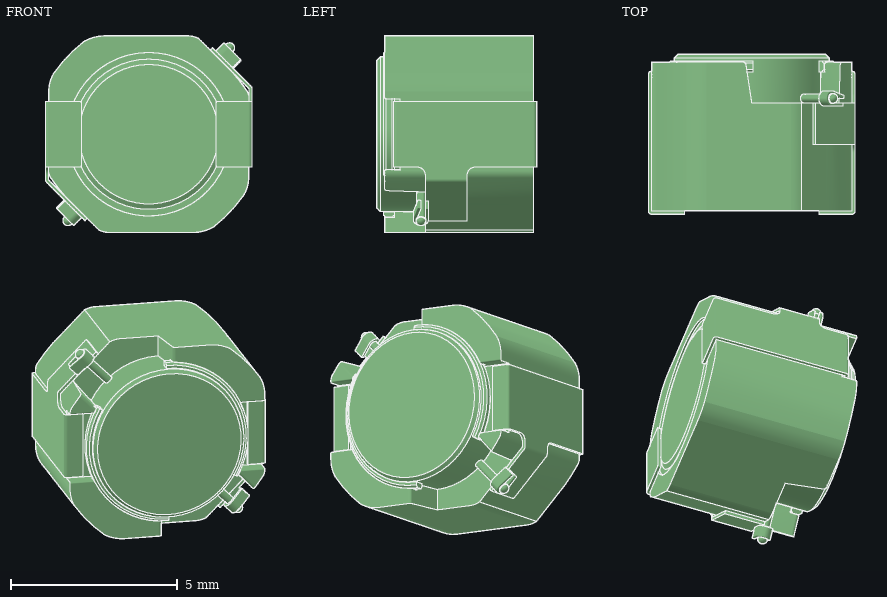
import cadquery as cq
import math


shell_length = 4.465
half_width = 3.0
half_height = 2.95
large_corner = [
    (-1.345, half_height), (-1.66, 2.9), (-1.94, 2.785), (-2.43, 2.34),
    (-2.85, 1.82), (-2.965, 1.555), (-half_width, 1.28),
]
bevel_sum = 4.365
bevel_start_x = 1.49
bevel_end_x = 2.23
bevel_lead_in = [(1.185, half_height), (1.35, 2.925)]
bevel_tail = [(2.6, 1.755), (2.915, 1.34), (2.98, 1.22), (half_width, 1.09)]

core_radius = 2.325
core_end = 4.7
core_rear_chamfer = 0.11
core_face_radius = 2.09

glue_depth = 0.3
front_glue_radius = 2.45
front_glue_inner = 2.25
front_glue_recess = 0.08
rear_glue_radius = 2.49
rear_glue_rise = 0.04
rear_glue_chamfer = 0.075
rear_glue_start = 89.0
rear_glue_end = 210.0

strip = 0.1
terminal_width = 1.97
terminal_top = 4.19
leg_tip_x = 2.01
leg_tip_round = 0.05
fold_tip_x = 2.54
neck_bottom = 1.99
neck_round = 0.24
neck_bend_inside = 0.04
tab_end_x = 1.84
slot_width = 2.12
slot_floor = 4.0
slot_round = 0.05

wire_radius = 0.13
wire_y = 3.37
wire_along = -0.12
wire_head_radius = 0.155
wire_tip_out = 3.695
hook_end_along = 0.36
hook_top_out = 3.53
hook_slant = 16.0
hook_edge_round = 0.02

notch_left_flare = 0.185
notch_wall_along = 0.695
notch_wall_bend_out = 2.345
notch_mouth_floor = 0.625
notch_mouth_rear = 0.68
notch_inner = 1.24
notch_reach = 4.96
notch_round = 0.09

root2 = math.sqrt(2)
notch_floor = wire_y - wire_radius
hook_radius = wire_radius + strip
half_terminal = terminal_width / 2
terminal_x = half_width + strip
bevel_out = bevel_sum / root2
tab_out = bevel_out + strip
rear_glue_bottom = shell_length - glue_depth
rear_glue_top = shell_length + rear_glue_rise
small = 0.005


def half_turn(body):
    return body.rotate((0, 0, 0), (0, 1, 0), 180)


def section_at(y):
    """Workplane with local axes X and Z; a negative extrusion goes toward +Y."""
    return cq.Workplane("XZ", origin=(0, y, 0))


def on_bevel(along, out):
    """X, Z of a point given in the bevel's own directions."""
    return ((along + out) / root2, (out - along) / root2)


def wire_section(out):
    """Workplane parallel to the bevel and centred on the wire: local x is along, local y is +Y."""
    x, z = on_bevel(wire_along, out)
    return cq.Workplane(cq.Plane(origin=(x, wire_y, z), xDir=(1, 0, -1), normal=(1, 0, 1)))


def turned(profile, angle):
    """Turn a profile of (radius, Y) points about the Y axis, from +Z toward -X."""
    outline = cq.Workplane("YZ").polyline([(y, radius) for radius, y in profile]).close()
    return outline.revolve(angle, (0, 0), (-1, 0))


def edge_along_y(x, z):
    """Selector for the edge that runs along Y at X, Z."""
    return cq.selectors.BoxSelector((x - small, 0, z - small), (x + small, shell_length, z + small))



def half_outline(outline, sign):
    """Draw the bevelled corner, the flat side and the large corner; sign -1 is the other half."""
    def place(point):
        return (sign * point[0], sign * point[1])

    def opposite(point):
        return (-sign * point[0], -sign * point[1])

    outline = (
        outline
        .lineTo(*place(bevel_lead_in[0]))
        .threePointArc(place(bevel_lead_in[1]), place((bevel_start_x, bevel_sum - bevel_start_x)))
        .lineTo(*place((bevel_end_x, bevel_sum - bevel_end_x)))
        .threePointArc(place(bevel_tail[0]), place(bevel_tail[1]))
        .threePointArc(place(bevel_tail[2]), place(bevel_tail[3]))
        .lineTo(*opposite(large_corner[-1]))
    )
    for i in (5, 3, 1):
        outline = outline.threePointArc(opposite(large_corner[i]), opposite(large_corner[i - 1]))
    return outline


def make_notch():
    def outline(left, mouth_along):
        return [
            (left, notch_inner),
            (left, notch_reach),
            on_bevel(mouth_along, notch_reach),
            on_bevel(mouth_along, bevel_out),
            on_bevel(notch_wall_along, notch_wall_bend_out),
            on_bevel(notch_wall_along, notch_inner),
        ]

    return (
        section_at(notch_floor)
        .polyline(outline(0, notch_mouth_floor)).close()
        .workplane(offset=notch_floor - shell_length)
        .polyline(outline(-notch_left_flare, notch_mouth_rear)).close()
        .loft(ruled=True)
    )


def round_rear_edges(shell, radius):
    """Round the sharp rear edges that run from the rear groove out to the side of the shell."""
    edges = []
    for edge in shell.faces(">Y").edges("%LINE").vals():
        inner_end = min(math.hypot(vertex.X, vertex.Z) for vertex in edge.Vertices())
        if abs(inner_end - rear_glue_radius) < small:
            edges.append(edge)
    return shell.newObject(edges).fillet(radius)


def make_shell():
    outline = section_at(0).moveTo(*large_corner[0])
    for sign in (1, -1):
        outline = half_outline(outline, sign)
    shell = outline.close().extrude(-shell_length)
    bore = section_at(0).circle(core_radius).extrude(-shell_length)
    front_groove = section_at(0).circle(front_glue_radius).extrude(-glue_depth)
    rear_groove = section_at(rear_glue_bottom).circle(rear_glue_radius).extrude(-glue_depth)
    shell = shell.cut(bore).cut(front_groove).cut(rear_groove)
    notch = make_notch()
    shell = round_rear_edges(shell.cut(notch).cut(half_turn(notch)), notch_round)
    slots = (
        cq.Workplane("XY", origin=(0, slot_floor, 0))
        .box(2 * terminal_x, shell_length - slot_floor, slot_width, centered=(True, False, True))
    )
    return round_rear_edges(shell.cut(slots), slot_round)



def core_front_y(radius):
    """Y of the core's front cone at a radius."""
    slope = front_glue_recess / (front_glue_inner - core_face_radius)
    return (radius - core_face_radius) * slope


def make_core():
    profile = [
        (0, 0),
        (core_face_radius, 0),
        (core_radius, core_front_y(core_radius)),
        (core_radius, core_end - core_rear_chamfer),
        (core_radius - core_rear_chamfer, core_end),
        (0, core_end),
    ]
    return turned(profile, 360)


def make_front_glue():
    profile = [
        (front_glue_inner, front_glue_recess),
        (front_glue_radius, front_glue_recess),
        (front_glue_radius, glue_depth),
        (core_radius, glue_depth),
        (core_radius, core_front_y(core_radius)),
    ]
    return turned(profile, 360)


def make_rear_glue():
    """One of the two arcs of adhesive between the notches."""
    shoulder = rear_glue_radius - rear_glue_chamfer
    profile = [
        (core_radius, rear_glue_bottom),
        (shoulder, rear_glue_bottom),
        (rear_glue_radius, rear_glue_bottom + rear_glue_chamfer),
        (rear_glue_radius, rear_glue_top - rear_glue_chamfer),
        (shoulder, rear_glue_top),
        (core_radius, rear_glue_top),
    ]
    arc = turned(profile, rear_glue_end - rear_glue_start)
    return arc.rotate((0, 0, 0), (0, 1, 0), 90 - rear_glue_start)



def make_strap():
    """Front leg, side and rear fold as one bent strip."""
    profile = [
        (leg_tip_x, 0), (leg_tip_x, -strip),
        (terminal_x, -strip), (terminal_x, terminal_top),
        (fold_tip_x, terminal_top), (fold_tip_x, terminal_top - strip),
        (half_width, terminal_top - strip), (half_width, 0),
    ]
    strap = cq.Workplane("XY").polyline(profile).close().extrude(half_terminal, both=True)
    strap = strap.edges("|Z and >X").fillet(strip)
    return strap.edges("|Y and <X").edges("<Y").fillet(leg_tip_round)


def make_neck():
    """Part of the strip that bends from the side onto the bevel and ends in the tab."""
    inner_bend_z = bevel_sum - half_width
    outer_bend_z = tab_out * root2 - terminal_x
    tab_end_z = bevel_sum - tab_end_x
    tab_corner = strip / root2
    profile = [
        (half_width, 0), (terminal_x, 0), (terminal_x, outer_bend_z),
        (tab_end_x + tab_corner, tab_end_z + tab_corner),
        (tab_end_x, tab_end_z), (half_width, inner_bend_z),
    ]
    neck = section_at(neck_bottom).polyline(profile).close().extrude(neck_bottom - notch_floor)
    neck = neck.edges(edge_along_y(half_width, inner_bend_z)).fillet(neck_bend_inside)
    return neck.edges(edge_along_y(terminal_x, outer_bend_z)).fillet(neck_bend_inside + strip)


def make_hook():
    """Strip bent around the wire: one leg flush with the tab's rear edge, the other slanting back."""
    leg_length = hook_end_along - wire_along
    slant = math.radians(hook_slant)

    def slanted(distance, offset):
        """Point a distance down the slanting leg, offset from the line through the wire's axis."""
        return (
            distance * math.cos(slant) + offset * math.sin(slant),
            offset * math.cos(slant) - distance * math.sin(slant),
        )

    hook = (
        wire_section(tab_out)
        .moveTo(leg_length, -wire_radius)
        .lineTo(leg_length, -hook_radius)
        .lineTo(0, -hook_radius)
        .threePointArc((-hook_radius, 0), slanted(0, hook_radius))
        .lineTo(*slanted(leg_length, hook_radius))
        .lineTo(*slanted(leg_length, wire_radius))
        .lineTo(*slanted(0, wire_radius))
        .threePointArc((-wire_radius, 0), (0, -wire_radius))
        .close()
        .extrude(hook_top_out - tab_out)
    )
    axis_x, axis_z = on_bevel(wire_along, (tab_out + hook_top_out) / 2)
    axis_point = cq.Vector(axis_x, wire_y, axis_z)
    outward = cq.Vector(1, 0, 1)
    end_corners = []
    for edge in hook.edges(cq.selectors.ParallelDirSelector(outward)).vals():
        if (edge.Center() - axis_point).Length > hook_radius + strip:
            end_corners.append(edge)
    hook = hook.newObject(end_corners).fillet(hook_edge_round)
    top_face = hook.faces(cq.selectors.DirectionMinMaxSelector(outward))
    return top_face.edges().fillet(hook_edge_round)


def make_terminal():
    terminal = make_strap().union(make_neck())
    neck_corners = cq.selectors.BoxSelector(
        (half_width - small, neck_bottom - small, half_terminal - small),
        (terminal_x + small, notch_floor + small, half_terminal + small),
    )
    terminal = terminal.edges("|X").edges(neck_corners).fillet(neck_round)
    return terminal.union(make_hook())



def make_wire(core):
    """Wire end that leaves the core, passes through the hook and ends in a round head."""
    head_out = wire_tip_out - wire_head_radius
    head = wire_section(head_out).sphere(wire_head_radius)
    inside_hook = wire_section(hook_top_out).circle(hook_radius).extrude(-hook_radius)
    shank = wire_section(0).circle(wire_radius).extrude(head_out)
    return shank.union(head.cut(inside_hook)).cut(core)



core = make_core()
front_glue = make_front_glue()
terminal = make_terminal()

shell = make_shell().cut(terminal).cut(half_turn(terminal))

paired_bodies = []
for body in (terminal, make_wire(core), make_rear_glue()):
    paired_bodies.append(body.val())
    paired_bodies.append(half_turn(body).val())

result = cq.Compound.makeCompound([shell.val(), core.val(), front_glue.val(), *paired_bodies])